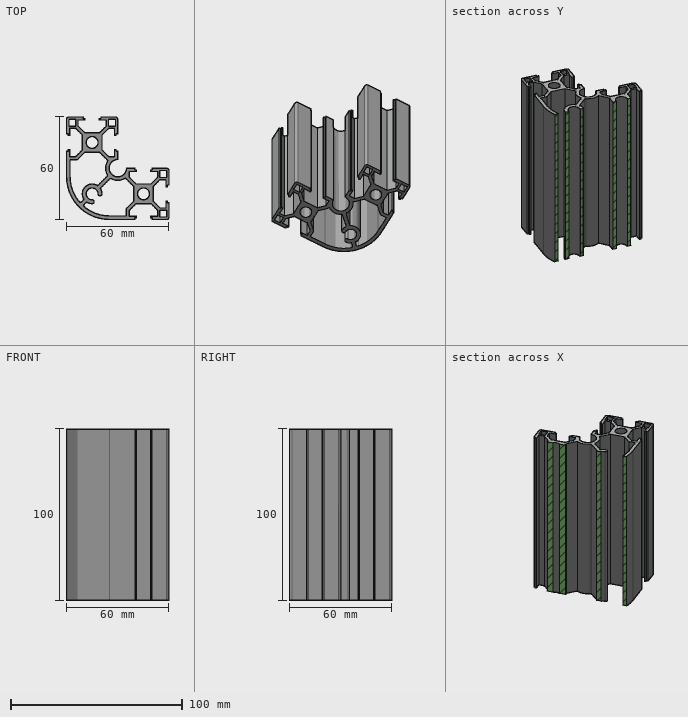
import cadquery as cq
import math

LENGTH = 100.0
MODULE = 30.0
HALF = MODULE / 2
SIDE = 2 * MODULE

WALL = 2.2
MODULE_WEB = 2.0
CORNER_RADIUS = 25.0
EDGE_RADIUS = 1.5

LIP = 2.0
LIP_STEP = 1.0
MOUTH_HALF = 5.1
THROAT_HALF = 4.1
SLOT_HALF = 8.2
CORE_HALF = 5.8
FLOOR_HALF = 4.4
BORE_DIAMETER = 6.8

HOLLOW_WALL = 1.5
HOLLOW_SIZE = 3.9

NOTCH_RADIUS = 5.0
NOTCH_WALL = 2.2

BOSS_CENTRE = 15.0
BOSS_RADIUS = 5.8
BOSS_BORE_RADIUS = 3.4
RIB_WIDTH = 2.2
RIB_FILLET = 1.0

MODULE_CENTRES = [(HALF, SIDE - HALF), (SIDE - HALF, HALF)]
SLOT_ANGLES = [(0, 90, 180), (0, 90, -90)]
HOLLOW_SIDES = [[(-1, 1), (1, 1)], [(1, 1), (1, -1)]]


def prism(sketch):
    return sketch.extrude(LENGTH)


def cylinder(x, y, radius):
    return prism(cq.Workplane("XY").center(x, y).circle(radius))


def edge_near(x, y):
    """Selector for the lengthwise edge that stands at (x, y)."""
    margin = 0.1
    return cq.selectors.BoxSelector((x - margin, y - margin, 0), (x + margin, y + margin, LENGTH))


def make_body():
    """Solid L-shaped block with the large rounded corner and small outer edge rounds."""
    outline = (
        cq.Workplane("XY")
        .moveTo(CORNER_RADIUS, 0)
        .lineTo(SIDE, 0)
        .lineTo(SIDE, MODULE)
        .lineTo(MODULE, MODULE)
        .lineTo(MODULE, SIDE)
        .lineTo(0, SIDE)
        .lineTo(0, CORNER_RADIUS)
        .radiusArc((CORNER_RADIUS, 0), -CORNER_RADIUS)
        .close()
    )
    body = prism(outline)
    for x, y in [(SIDE, 0), (SIDE, MODULE), (MODULE, SIDE), (0, SIDE)]:
        body = body.edges("|Z").edges(edge_near(x, y)).fillet(EDGE_RADIUS)
    return body


def make_slot():
    """Cutter for one T-slot that opens toward +X from a module centre at the origin."""
    shoulder = CORE_HALF + SLOT_HALF - FLOOR_HALF
    upper = [
        (CORE_HALF, FLOOR_HALF),
        (shoulder, SLOT_HALF),
        (HALF - LIP, SLOT_HALF),
        (HALF - LIP, THROAT_HALF),
        (HALF - LIP_STEP, THROAT_HALF),
        (HALF - LIP_STEP, MOUTH_HALF),
        (HALF, MOUTH_HALF),
    ]
    lower = [(x, -y) for x, y in reversed(upper)]
    return prism(cq.Workplane("XY").polyline(upper + lower).close())


def cut_modules(body):
    """Cut the slots, the core bore and the square hollows of both modules."""
    slot = make_slot()
    hollow_centre = HALF - HOLLOW_WALL - HOLLOW_SIZE / 2
    for (x, y), angles, sides in zip(MODULE_CENTRES, SLOT_ANGLES, HOLLOW_SIDES):
        body = body.cut(cylinder(x, y, BORE_DIAMETER / 2))
        for angle in angles:
            body = body.cut(slot.rotate((0, 0, 0), (0, 0, 1), angle).translate((x, y, 0)))
        for side_x, side_y in sides:
            centre = (x + side_x * hollow_centre, y + side_y * hollow_centre)
            hollow = cq.Workplane("XY").center(*centre).rect(HOLLOW_SIZE, HOLLOW_SIZE)
            body = body.cut(prism(hollow))
    return body


def make_boss():
    """Three-quarter ring with rounded ends, open toward +X -Y."""
    boss = cylinder(BOSS_CENTRE, BOSS_CENTRE, BOSS_RADIUS)
    boss = boss.cut(cylinder(BOSS_CENTRE, BOSS_CENTRE, BOSS_BORE_RADIUS))
    opening = cq.Workplane("XY").rect(BOSS_RADIUS, -BOSS_RADIUS, centered=False)
    boss = boss.cut(prism(opening).translate((BOSS_CENTRE, BOSS_CENTRE, 0)))
    tip_offset = (BOSS_RADIUS + BOSS_BORE_RADIUS) / 2
    tip_radius = (BOSS_RADIUS - BOSS_BORE_RADIUS) / 2
    for x, y in [(tip_offset, 0), (0, -tip_offset)]:
        boss = boss.union(cylinder(BOSS_CENTRE + x, BOSS_CENTRE + y, tip_radius))
    return boss


def make_cavity():
    """Hollow between the rounded wall and the two modules, less the notch wall, rib and boss."""
    web = SLOT_HALF + MODULE_WEB
    flank = web - (CORE_HALF - FLOOR_HALF)
    module_x, module_y = MODULE_CENTRES[0]
    upper = [
        (WALL, module_y - web),
        (module_x - flank, module_y - web),
        (module_x - FLOOR_HALF, module_y - CORE_HALF),
        (module_x + FLOOR_HALF, module_y - CORE_HALF),
    ]
    lower = [(y, x) for x, y in reversed(upper)]
    outline = cq.Workplane("XY").moveTo(WALL, CORNER_RADIUS)
    for point in upper + lower:
        outline = outline.lineTo(*point)
    outline = outline.lineTo(CORNER_RADIUS, WALL)
    outline = outline.radiusArc((WALL, CORNER_RADIUS), CORNER_RADIUS - WALL).close()
    cavity = prism(outline)

    rib_length = MODULE * math.sqrt(2)
    rib = prism(cq.Workplane("XY").center(rib_length / 2, 0).rect(rib_length, RIB_WIDTH))
    rib = rib.rotate((0, 0, 0), (0, 0, 1), 45)
    rib = rib.cut(cylinder(BOSS_CENTRE, BOSS_CENTRE, BOSS_BORE_RADIUS))
    cavity = cavity.cut(cylinder(MODULE, MODULE, NOTCH_RADIUS + NOTCH_WALL))
    cavity = cavity.cut(rib).cut(make_boss())
    return round_rib_ends(cavity)


def round_rib_ends(cavity):
    """Round the corners where the rib meets the curved wall and the notch wall."""
    half_rib = RIB_WIDTH / 2
    wall_arc = (CORNER_RADIUS, CORNER_RADIUS - WALL)
    notch_arc = (MODULE, NOTCH_RADIUS + NOTCH_WALL)
    for centre, radius in [wall_arc, notch_arc]:
        reach = math.sqrt(radius**2 - half_rib**2)
        for side in (-half_rib, half_rib):
            x = centre + (side - reach) / math.sqrt(2)
            y = centre - (side + reach) / math.sqrt(2)
            cavity = cavity.edges("|Z").edges(edge_near(x, y)).fillet(RIB_FILLET)
    return cavity


body = cut_modules(make_body())
body = body.cut(cylinder(MODULE, MODULE, NOTCH_RADIUS))
result = body.cut(make_cavity())